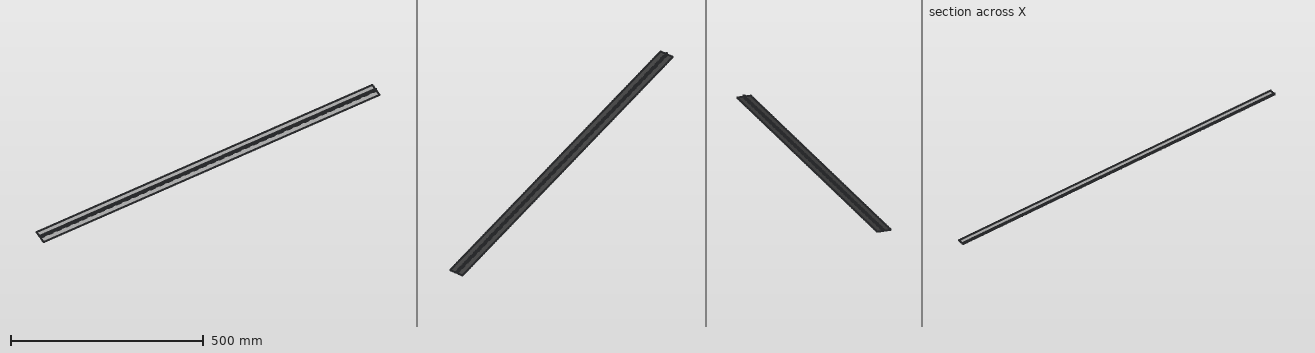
import cadquery as cq

hinge_length = 1000.0
hinge_width = 38.0
barrel_diameter = 4.69

leaf_thickness = 0.8
knuckle_pitch = 12.7
knuckle_gap = 0.2
knuckle_count = 79
notch_clearance = 0.5

barrel_radius = barrel_diameter / 2
pin_radius = barrel_radius - leaf_thickness
leaf_reach = hinge_width / 2
leaf_bottom = -barrel_radius
hinge_end = hinge_length / 2
notch_reach = barrel_radius + notch_clearance
notch_height = 2 * barrel_diameter
middle_knuckle = knuckle_count // 2


def round_bar(radius):
    """Full-length cylinder on the hinge axis."""
    return cq.Workplane("XZ").circle(radius).extrude(hinge_end, both=True)


def leaf_blank():
    """Flat leaf on the +X side, level with the bottom of an unbroken, bored barrel."""
    plate = cq.Workplane("XY").box(leaf_reach, hinge_length, leaf_thickness, centered=(False, True, False))
    plate = plate.translate((0, 0, leaf_bottom))
    return plate.union(round_bar(barrel_radius)).cut(round_bar(pin_radius))


def notch(index):
    """Block that clears one knuckle of the other leaf and the gap at each of its ends."""
    centre = (index - middle_knuckle) * knuckle_pitch
    length = knuckle_pitch + knuckle_gap
    block = cq.Workplane("XY").box(2 * notch_reach, length, notch_height)
    return block.translate((0, centre, 0)).val()


def leaf(first_notch):
    """Leaf on the +X side, notched at every second knuckle from first_notch on."""
    notches = [notch(index) for index in range(first_notch, knuckle_count, 2)]
    return leaf_blank().cut(cq.Workplane(obj=cq.Compound.makeCompound(notches)))


left_leaf = leaf(1).mirror("YZ").solids()
right_leaf = leaf(0).solids()

pin = round_bar(pin_radius)

result = cq.Compound.makeCompound([left_leaf.val(), right_leaf.val(), pin.val()])